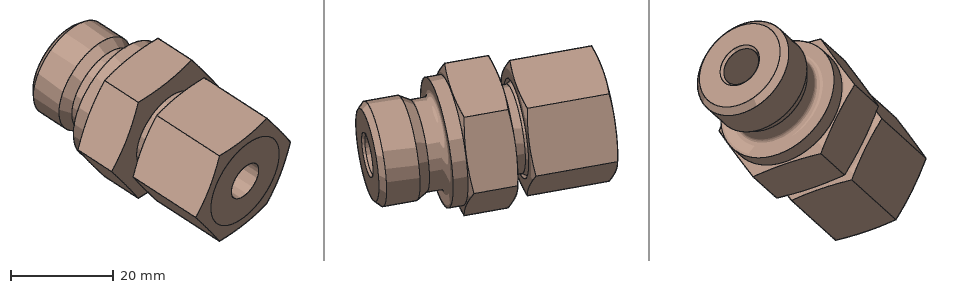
import cadquery as cq
import math


stud_cone_start = 8.0
fillet_start = 13.0
flange_face = 14.0
hexagon_start = 17.0
hexagon_end = 27.0
neck_end = 29.65
nut_face = 30.0
overall_length = 47.5

stud_radius = 10.5
groove_radius = 9.2
flange_radius = 13.0
sealing_rim_radius = 12.5
neck_radius = 8.9
nut_thread_radius = 9.98

stud_chamfer = 1.25
relief_angle = 30
relief_slope = math.tan(math.radians(relief_angle))
groove_fillet = 1.2

bore_radius = 4.0
bore_chamfer = 0.5

body_across_flats = 27.0
nut_across_flats = 24.0
hexagon_chamfer_angle = 15


def revolve_about_x(profile):
    """Turn a closed profile, drawn as (axial position, radius), around the X axis."""
    return profile.close().revolve(360, (0, 0, 0), (1, 0, 0))


def chamfered_hexagon(start, end, across_flats):
    """A hexagonal bar along X, flats facing +Z and -Z, with its corners turned off at both ends."""
    corner_radius = across_flats / math.sqrt(3)
    flat_radius = across_flats / 2
    corner_setback = (corner_radius - flat_radius) * math.tan(math.radians(hexagon_chamfer_angle))
    bar = (
        cq.Workplane("YZ", origin=(start, 0, 0))
        .polygon(6, 2 * corner_radius)
        .extrude(end - start)
    )
    turned_envelope = revolve_about_x(
        cq.Workplane("XY")
        .moveTo(start, 0)
        .lineTo(start, flat_radius)
        .lineTo(start + corner_setback, corner_radius)
        .lineTo(end - corner_setback, corner_radius)
        .lineTo(end, flat_radius)
        .lineTo(end, 0)
    )
    return bar.intersect(turned_envelope)


def stud_and_flange():
    """The threaded stud, its relief groove and the flange with a shallow sealing cone."""
    groove_start = stud_cone_start + (stud_radius - groove_radius) / relief_slope

    centre_x = fillet_start
    centre_radius = groove_radius + groove_fillet
    rim_dx = flange_face - centre_x
    rim_dr = sealing_rim_radius - centre_radius
    rim_distance = math.hypot(rim_dx, rim_dr)
    tangent_angle = math.atan2(rim_dr, rim_dx) - math.acos(groove_fillet / rim_distance)

    def fillet_point(angle):
        return (
            centre_x + groove_fillet * math.cos(angle),
            centre_radius + groove_fillet * math.sin(angle),
        )

    fillet_middle_angle = (tangent_angle - math.pi / 2) / 2
    return revolve_about_x(
        cq.Workplane("XY")
        .moveTo(0, 0)
        .lineTo(0, stud_radius - stud_chamfer)
        .lineTo(stud_chamfer, stud_radius)
        .lineTo(stud_cone_start, stud_radius)
        .lineTo(groove_start, groove_radius)
        .lineTo(fillet_start, groove_radius)
        .threePointArc(fillet_point(fillet_middle_angle), fillet_point(tangent_angle))
        .lineTo(flange_face, sealing_rim_radius)
        .lineTo(flange_face, flange_radius)
        .lineTo(hexagon_start, flange_radius)
        .lineTo(hexagon_start, 0)
    )


def neck_and_nut_thread():
    """The neck behind the hexagon, widening to the thread that carries the nut."""
    thread_start = neck_end + (nut_thread_radius - neck_radius) / relief_slope
    return revolve_about_x(
        cq.Workplane("XY")
        .moveTo(hexagon_end, 0)
        .lineTo(hexagon_end, neck_radius)
        .lineTo(neck_end, neck_radius)
        .lineTo(thread_start, nut_thread_radius)
        .lineTo(overall_length, nut_thread_radius)
        .lineTo(overall_length, 0)
    )


def through_bore():
    """The flow passage along the whole body, countersunk at the stud end."""
    return revolve_about_x(
        cq.Workplane("XY")
        .moveTo(0, 0)
        .lineTo(0, bore_radius + bore_chamfer)
        .lineTo(bore_chamfer, bore_radius)
        .lineTo(overall_length, bore_radius)
        .lineTo(overall_length, 0)
    )


def make_coupling_body():
    hexagon = chamfered_hexagon(hexagon_start, hexagon_end, body_across_flats)
    return stud_and_flange().union(hexagon).union(neck_and_nut_thread()).cut(through_bore())


def make_union_nut():
    """The hexagon nut, bored through to fit the body's thread."""
    nut_bore = (
        cq.Workplane("YZ", origin=(nut_face, 0, 0))
        .circle(nut_thread_radius)
        .extrude(overall_length - nut_face)
    )
    return chamfered_hexagon(nut_face, overall_length, nut_across_flats).cut(nut_bore)


coupling_body = make_coupling_body()
union_nut = make_union_nut()

result = cq.Compound.makeCompound([coupling_body.val(), union_nut.val()])